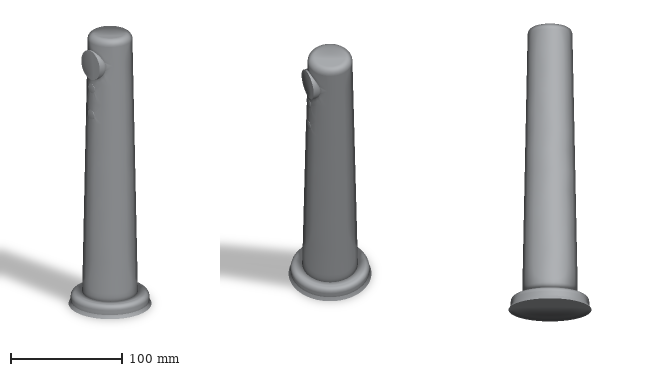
import cadquery as cq

total_height = 263.5
foot_radius = 37.29
flange_radius = 35.3
flare_height = 3.2
flange_height = 11.9
flange_fillet = 4.2

column_bottom_radius = 25.0
column_top_radius = 20.0
column_fillet = 6.0

knob_diameter = 27.7
knob_height = 237.0
knob_reach = 22.0
button_diameter = 9.2
button_heights = (214.2, 189.0)
button_dome = 0.5


def make_flange():
    """Disc with a conical foot and a rounded upper rim."""
    profile = [
        (0, 0),
        (foot_radius, 0),
        (flange_radius, flare_height),
        (flange_radius, flange_height),
        (0, flange_height),
    ]
    flange = cq.Workplane("XZ").polyline(profile).close().revolve(360, (0, 0), (0, 1))
    return flange.faces(">Z").edges().fillet(flange_fillet)


def make_column():
    """Cone standing on the flange, with a rounded top edge."""
    profile = [
        (0, flange_height),
        (column_bottom_radius, flange_height),
        (column_top_radius, total_height),
        (0, total_height),
    ]
    column = cq.Workplane("XZ").polyline(profile).close().revolve(360, (0, 0), (0, 1))
    return column.faces(">Z").edges().fillet(column_fillet)


def column_radius(height):
    """Radius of the tapered column at a given height."""
    rise = (height - flange_height) / (total_height - flange_height)
    return column_bottom_radius + rise * (column_top_radius - column_bottom_radius)


def make_knob():
    """Flat-faced cylinder from the column axis out along -Y."""
    return cq.Workplane("XZ").center(0, knob_height).circle(knob_diameter / 2).extrude(knob_reach)


def make_button(height):
    """Round pin along -Y whose shallow domed end rises from the column surface."""
    radius = button_diameter / 2
    rim_reach = column_radius(height)
    dome_radius = (radius**2 + button_dome**2) / (2 * button_dome)
    dome_center = rim_reach + button_dome - dome_radius
    pin = cq.Workplane("XZ").circle(radius).extrude(rim_reach + button_dome)
    dome = cq.Workplane("XY").sphere(dome_radius).translate((0, -dome_center, 0))
    return pin.intersect(dome).translate((0, 0, height))


result = make_flange().union(make_column()).union(make_knob())
for button_height in button_heights:
    result = result.union(make_button(button_height))